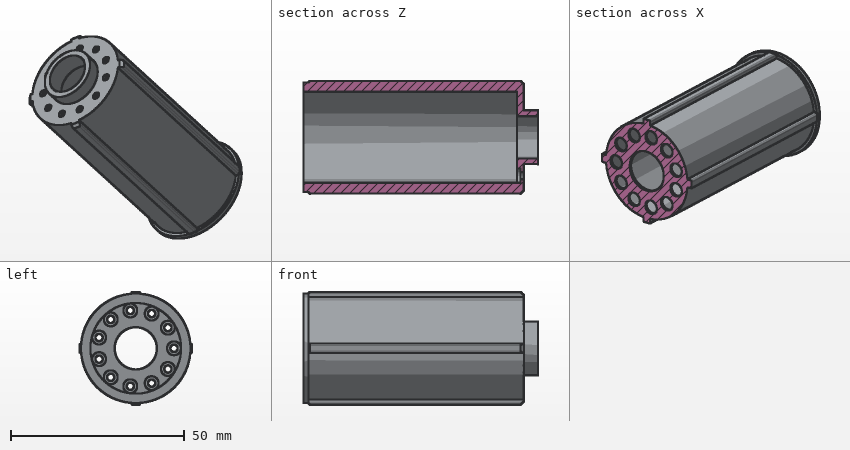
import cadquery as cq
import math

total_length = 67.5
flange_thickness = 1.5
neck_length = 4.05
floor_thickness = 2.0
body_end = total_length - neck_length

flange_diameter = 31.6
body_diameter = 29.55
cavity_diameter = 26.1
neck_diameter = 15.6
outlet_diameter = 12.1

rib_count = 4
rib_width = 2.7
rib_tip_diameter = 32.5
rib_tip_radius = rib_tip_diameter / 2
rib_draft = 3.0
rib_edge_radius = 0.5
rib_lead_in = 0.95
rib_start_chamfer = 0.35
rib_root_radius = (body_diameter / 2 + cavity_diameter / 2) / 2
rib_root_spread = (body_diameter / 2 - rib_root_radius) * math.tan(math.radians(rib_draft))

hole_count = 11
hole_circle_radius = 11.0
first_hole_angle = 180
hole_diameter = 2.0
counterbore_diameter = 4.0
counterbore_depth = floor_thickness / 2


def cylinder(diameter, start, end):
    """Solid cylinder on the X axis between two X positions."""
    return cq.Workplane("YZ").workplane(offset=start).circle(diameter / 2).extrude(end - start)


def make_rib():
    """Rib on the +Z side: drafted flanks, rounded outer edges and bevelled ends."""
    bar = (
        cq.Workplane("XY", origin=(total_length / 2, 0, rib_root_radius))
        .rect(total_length, rib_width + 2 * rib_root_spread)
        .extrude(rib_tip_radius - rib_root_radius, taper=rib_draft)
        .faces(">Z")
        .edges("|X")
        .fillet(rib_edge_radius)
    )
    end_profile = (
        cq.Workplane("XZ")
        .moveTo(flange_thickness, rib_root_radius)
        .lineTo(flange_thickness, rib_tip_radius - rib_start_chamfer)
        .lineTo(flange_thickness + rib_start_chamfer, rib_tip_radius)
        .lineTo(body_end - rib_lead_in, rib_tip_radius)
        .lineTo(body_end, rib_tip_radius - rib_lead_in)
        .lineTo(body_end, rib_root_radius)
        .close()
        .extrude(rib_width, both=True)
    )
    return bar.intersect(end_profile)


def hole_ring(diameter, start, end):
    """Equally spaced cylinders around the X axis, the first on the -Y side."""
    return (
        cq.Workplane("YZ")
        .workplane(offset=start)
        .polarArray(hole_circle_radius, first_hole_angle, 360, hole_count)
        .circle(diameter / 2)
        .extrude(end - start)
    )


result = cylinder(flange_diameter, 0, flange_thickness)
result = result.union(cylinder(body_diameter, flange_thickness, body_end))
result = result.union(cylinder(neck_diameter, body_end, total_length))

rib = make_rib()
for index in range(rib_count):
    angle = index * 360 / rib_count
    result = result.union(rib.rotate((0, 0, 0), (1, 0, 0), angle))

floor_start = body_end - floor_thickness
result = result.cut(cylinder(cavity_diameter, 0, floor_start))
result = result.cut(cylinder(outlet_diameter, floor_start, total_length))

result = result.cut(hole_ring(hole_diameter, floor_start, body_end))
result = result.cut(hole_ring(counterbore_diameter, floor_start, floor_start + counterbore_depth))